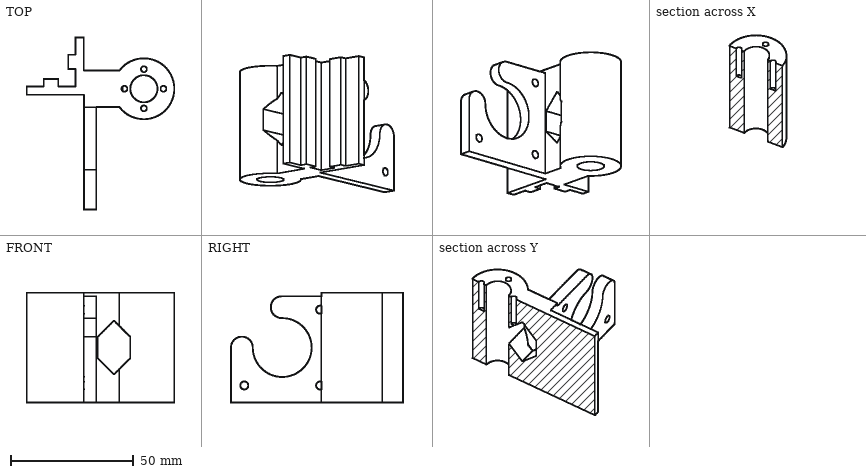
import cadquery as cq
import math


height = 45.0
barrel_radius = 12.5
bore_diameter = 11.0
screw_hole_diameter = 2.4
screw_circle_radius = 8.0
screw_hole_depth = 15.2
screw_hole_count = 4
full_turn = 360

leg_length = 23.5
leg_thickness = 3.5
rail_width = 6.0
rail_height = 3.0
rail_offset = 10.5
corner_x = -24.5
corner_y = -2.5

arm_half_width = 7.5

window_center_x = corner_x / 2
window_half_width = 6.6
window_half_height = 11.0

motor_size = 42.0
motor_hole_spacing = 31.0
motor_hole_diameter = 3.2
motor_opening_radius = 12.0
plate_thickness = 5.1
plate_overlap = 0.05
motor_y = -arm_half_width + plate_overlap - motor_size / 2
motor_z = height / 2
upper_hook_extension = 0.2
tip_radius = (motor_size / 2 - motor_opening_radius) / 2


def make_leg():
    """One bracket leg along +X from the outer corner, with its rail on the +Y side."""
    leg = cq.Workplane("XY").rect(leg_length, leg_thickness, centered=False).extrude(height)
    rail = (
        cq.Workplane("XY")
        .moveTo(rail_offset, 0)
        .rect(rail_width, leg_thickness + rail_height, centered=False)
        .extrude(height)
    )
    return leg.union(rail)


def make_bracket():
    """Two mirrored legs meeting at right angles: one runs to -X, the other to +Y."""
    leg = make_leg()
    x_leg = leg.mirror("YZ")
    y_leg = leg.rotate((0, 0, 0), (0, 0, 1), 90)
    return x_leg.union(y_leg).translate((corner_x, corner_y, 0))


def make_arm():
    """Straight block from the bracket corner to the barrel axis."""
    return (
        cq.Workplane("XY")
        .moveTo(corner_x, -arm_half_width)
        .rect(-corner_x, 2 * arm_half_width, centered=False)
        .extrude(height)
    )


def make_barrel():
    return cq.Workplane("XY").circle(barrel_radius).extrude(height)


def make_motor_plate():
    """Plate in the YZ plane, open at its upper outer corner to leave two round-tipped hooks."""
    inner_y = motor_y + motor_size / 2
    outer_y = motor_y - motor_size / 2
    top_z = motor_z + motor_size / 2
    inner_tip_z = motor_z + motor_opening_radius
    hook_center_y = motor_y - upper_hook_extension
    lug_center_y = outer_y + tip_radius
    opening_diagonal = motor_opening_radius * math.sqrt(0.5)
    plate = (
        cq.Workplane("YZ")
        .moveTo(inner_y, 0)
        .lineTo(outer_y, 0)
        .lineTo(outer_y, motor_z)
        .threePointArc((lug_center_y, motor_z + tip_radius), (motor_y - motor_opening_radius, motor_z))
        .threePointArc(
            (motor_y + opening_diagonal, motor_z - opening_diagonal),
            (motor_y, inner_tip_z),
        )
        .lineTo(hook_center_y, inner_tip_z)
        .threePointArc((hook_center_y - tip_radius, inner_tip_z + tip_radius), (hook_center_y, top_z))
        .lineTo(inner_y, top_z)
        .close()
        .extrude(plate_thickness)
    )
    holes = (
        cq.Workplane("YZ")
        .center(motor_y, motor_z)
        .rect(motor_hole_spacing, motor_hole_spacing, forConstruction=True)
        .vertices()
        .circle(motor_hole_diameter / 2)
        .extrude(plate_thickness)
    )
    return plate.cut(holes).translate((corner_x, 0, 0))


def make_bore():
    return cq.Workplane("XY").circle(bore_diameter / 2).extrude(height)


def make_screw_holes():
    """Blind holes sunk from the top face around the bore."""
    return (
        cq.Workplane("XY")
        .workplane(offset=height - screw_hole_depth)
        .polarArray(screw_circle_radius, 0, full_turn, screw_hole_count)
        .circle(screw_hole_diameter / 2)
        .extrude(screw_hole_depth)
    )


def make_window():
    """Hexagon with 45-degree roof and floor slopes and upright sides."""
    side_half_height = window_half_height - window_half_width
    corners = [
        (0, window_half_height),
        (window_half_width, side_half_height),
        (window_half_width, -side_half_height),
        (0, -window_half_height),
        (-window_half_width, -side_half_height),
        (-window_half_width, side_half_height),
    ]
    return (
        cq.Workplane("XZ")
        .center(window_center_x, height / 2)
        .polyline(corners)
        .close()
        .extrude(barrel_radius, both=True)
    )


body = make_barrel().union(make_arm()).union(make_bracket()).union(make_motor_plate())
result = body.cut(make_bore()).cut(make_screw_holes()).cut(make_window())